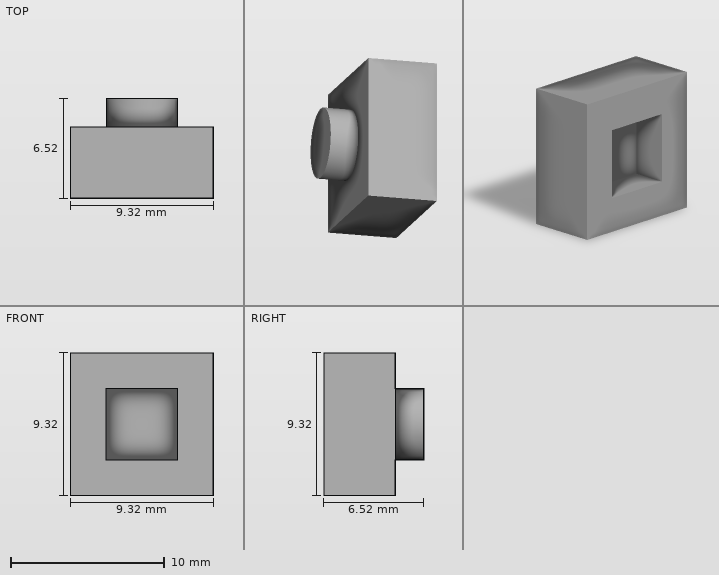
import cadquery as cq

block_side = 9.32
block_depth = block_side / 2

pocket_side = block_side / 2
pocket_depth = block_depth / 2

boss_diameter = pocket_side
boss_length = 1.86


def make_block():
    return cq.Workplane("XY").box(block_side, block_depth, block_side, centered=(True, False, True))


def make_pocket():
    return cq.Workplane("XY").box(pocket_side, pocket_depth, pocket_side, centered=(True, False, True))


def make_boss():
    back_face = cq.Workplane("XZ", origin=(0, block_depth, 0))
    return back_face.circle(boss_diameter / 2).extrude(-boss_length)


result = make_block().union(make_boss()).cut(make_pocket())